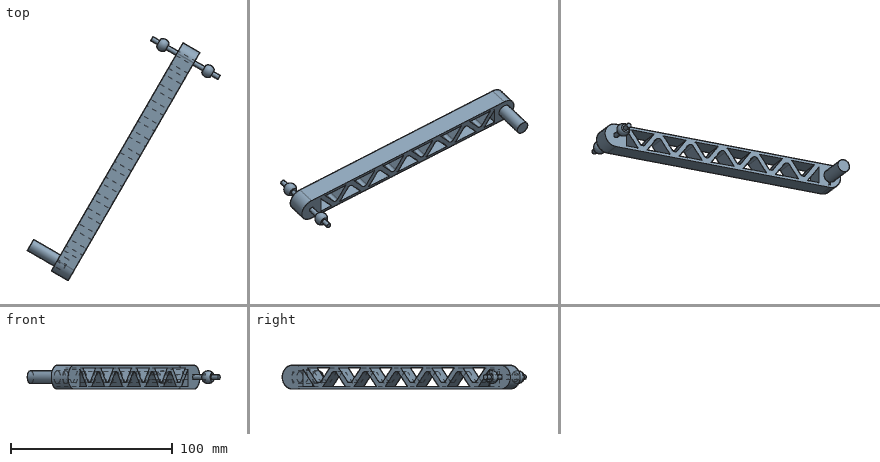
import cadquery as cq
import math

overall_length = 150.9

arm_lean = 30.0
arm_height = 15.0
arm_width = 12.0

window_pitch = 22.2
window_base = 15.7
window_rise = 10.4
window_tip_radius = 2.0
upright_window_count = 5
inverted_window_count = upright_window_count + 1
truss_height = 11.3

pin_diameter = 8.0
pin_overhang = 19.2
socket_depth = arm_width / 2
keyway_width = 1.0

axle_diameter = 3.0
axle_overhang = 18.0
ball_diameter = 8.0
ball_thickness = 6.0
ball_offset = 10.1

axle_length = arm_width + 2 * axle_overhang
side_face = arm_width / 2

lean_cos = math.cos(math.radians(arm_lean))
lean_sin = math.sin(math.radians(arm_lean))
reach_below = arm_height / 2 * lean_cos + side_face * lean_sin
reach_above = axle_diameter / 2 * lean_cos + axle_length / 2 * lean_sin
arm_spacing = (overall_length - reach_below - reach_above) / lean_cos


def side_plane(x, y):
    """Plane facing +X whose local axes are +Y and +Z."""
    return cq.Plane(origin=(x, y, 0), xDir=(0, 1, 0), normal=(1, 0, 0))


def triangle_prism(points):
    return cq.Workplane(side_plane(-side_face, 0)).polyline(points).close().extrude(arm_width)


def full_window(center_y, up):
    """Isosceles window with a rounded tip; up is +1 for tip up, -1 for tip down."""
    base_z = -up * truss_height / 2
    tip_z = base_z + up * window_rise
    prism = triangle_prism([
        (center_y - window_base / 2, base_z),
        (center_y + window_base / 2, base_z),
        (center_y, tip_z),
    ])
    tip_edge = cq.selectors.NearestToPointSelector((0, center_y, tip_z))
    return prism.edges("|X").edges(tip_edge).fillet(window_tip_radius)


def half_window(upright_y, toward):
    """Right-angled window closing the truss; toward is the Y sign of its sharp corner."""
    base_z = -truss_height / 2
    return triangle_prism([
        (upright_y, base_z),
        (upright_y + toward * window_base / 2, base_z),
        (upright_y, base_z + window_rise),
    ])


def window_centers(count):
    first = arm_spacing / 2 - (count - 1) * window_pitch / 2
    return [first + i * window_pitch for i in range(count)]


def make_arm():
    arm = (
        cq.Workplane(side_plane(-side_face, arm_spacing / 2))
        .slot2D(arm_spacing + arm_height, arm_height)
        .extrude(arm_width)
    )
    for center_y in window_centers(upright_window_count):
        arm = arm.cut(full_window(center_y, 1))
    for center_y in window_centers(inverted_window_count):
        arm = arm.cut(full_window(center_y, -1))

    truss_half_length = (upright_window_count + 1) * window_pitch / 2
    for end in (-1, 1):
        arm = arm.cut(half_window(arm_spacing / 2 + end * truss_half_length, -end))

    return arm.cut(make_axle_rod()).cut(make_handle_pin()).cut(make_keyway())


def make_axle_rod():
    return (
        cq.Workplane(side_plane(-axle_length / 2, arm_spacing))
        .circle(axle_diameter / 2)
        .extrude(axle_length)
    )


def make_ball(center_x):
    """Ball flattened on its two faces across the rod."""
    ball = cq.Workplane("XY").sphere(ball_diameter / 2)
    slab = cq.Workplane("XY").box(ball_thickness, ball_diameter, ball_diameter)
    return ball.intersect(slab).translate((center_x, arm_spacing, 0))


def make_ball_axle():
    axle = make_axle_rod()
    for side in (-1, 1):
        axle = axle.union(make_ball(side * (side_face + ball_offset)))
    return axle


def make_handle_pin():
    return (
        cq.Workplane(side_plane(-side_face - pin_overhang, 0))
        .circle(pin_diameter / 2)
        .extrude(pin_overhang + socket_depth)
    )


def make_keyway():
    """Slot below the pin, level at its bottom with the truss windows."""
    keyway_height = truss_height / 2
    keyway = (
        cq.Workplane(side_plane(-side_face, 0))
        .center(0, -keyway_height / 2)
        .rect(keyway_width, keyway_height)
        .extrude(socket_depth)
    )
    return keyway.cut(make_handle_pin())


def lean(body):
    return body.rotate((0, 0, 0), (0, 0, 1), -arm_lean)


arm = lean(make_arm())
handle_pin = lean(make_handle_pin())
ball_axle = lean(make_ball_axle())

result = cq.Compound.makeCompound([arm.val(), handle_pin.val(), ball_axle.val()])